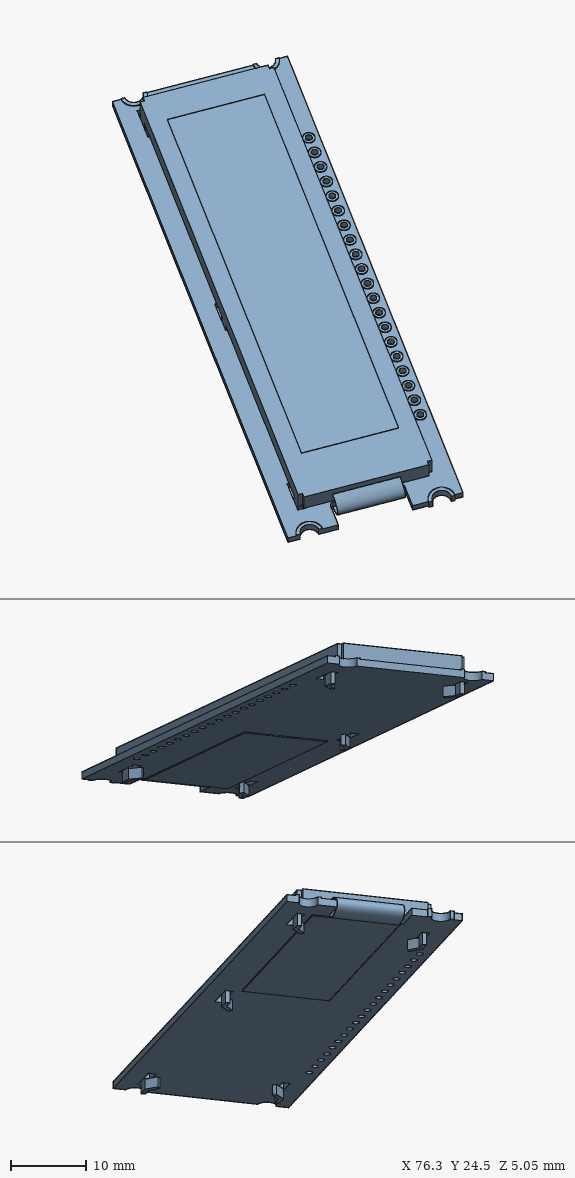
import cadquery as cq
import math

BOARD_LENGTH = 76.1
BOARD_WIDTH = 24.5
BOARD_THICKNESS = 1.0

MOUNT_HOLE_RADIUS = 1.3
MOUNT_RING_RADIUS = 1.8
MOUNT_SPACING_X = 76.3
MOUNT_SPACING_Y = 18.5
RING_OVERHANG = 0.2
PLATING_HEIGHT = 0.15

PIN_COUNT = 20
PIN_PITCH = 2.54
PIN_ROW_X = -0.1
PIN_ROW_Y = 10.75
PIN_HOLE_RADIUS = 0.45
PIN_RING_RADIUS = 0.85

DISPLAY_X = -0.8
DISPLAY_LENGTH = 69.7
DISPLAY_WIDTH = 18.7
DISPLAY_HEIGHT = 2.6
BEZEL_THICKNESS = 0.6
END_WALL_GAP = 0.1
WINDOW_X = -2.05
WINDOW_LENGTH = 58.15
WINDOW_WIDTH = 13.6
WINDOW_DEPTH = 0.1

TAB_DROP = 1.45
TAB_STRAIGHT_LENGTH = 1.8
TAB_BEND_REACH = 1.4
SLOT_LENGTH = 4.6
SLOT_WIDTH = 1.1
SLOT_SHIFT = 0.15
SLOT_OUTER_GAP = 0.2
FRONT_TAB_OFFSET = 32.7
BACK_TAB_OFFSET = 30.7
MIDDLE_TAB_OFFSET = 1.3

CABLE_WIDTH = 9.5
CABLE_THICKNESS = 0.15
CABLE_DEPTH_BELOW_TOP = 1.0
CABLE_REACH = 2.4
NOTCH_WIDTH = 10.4
NOTCH_DEPTH = 3.8
NOTCH_FILLET = 0.45
FILM_LENGTH = 30.75
FILM_WIDTH = 12.2

BOARD_END = BOARD_LENGTH / 2
DISPLAY_TOP = BOARD_THICKNESS + DISPLAY_HEIGHT
DISPLAY_SIDE = DISPLAY_WIDTH / 2
DISPLAY_END = DISPLAY_X + DISPLAY_LENGTH / 2
NOTCH_FLOOR_X = BOARD_END - NOTCH_DEPTH


def block(x_range, y_range, z_range):
    """Axis-aligned box between the given limits."""
    size = [high - low for low, high in (x_range, y_range, z_range)]
    corner = (x_range[0], y_range[0], z_range[0])
    return cq.Workplane("XY").box(*size, centered=False).translate(corner)


def rods(points, radius, height):
    """Upright cylinders standing on the plane of the board underside."""
    return cq.Workplane("XY").pushPoints(points).circle(radius).extrude(height)


TABS = [
    (DISPLAY_X - FRONT_TAB_OFFSET, -1, 1),
    (DISPLAY_X + MIDDLE_TAB_OFFSET, -1, -1),
    (DISPLAY_X + FRONT_TAB_OFFSET, -1, -1),
    (DISPLAY_X - BACK_TAB_OFFSET, 1, 1),
    (DISPLAY_X + BACK_TAB_OFFSET, 1, -1),
]


def make_board():
    board = cq.Workplane("XY").box(
        BOARD_LENGTH, BOARD_WIDTH, BOARD_THICKNESS, centered=(True, True, False)
    )
    notch = block(
        (NOTCH_FLOOR_X, BOARD_END),
        (-NOTCH_WIDTH / 2, NOTCH_WIDTH / 2),
        (0, BOARD_THICKNESS),
    )
    board = board.cut(notch.edges("|Z and <X").fillet(NOTCH_FILLET))
    slot_outer = DISPLAY_SIDE + SLOT_OUTER_GAP
    for x, side, bend in TABS:
        slot = cq.Workplane("XY").box(
            SLOT_LENGTH, SLOT_WIDTH, BOARD_THICKNESS, centered=(True, True, False)
        )
        slot_x = x + bend * SLOT_SHIFT
        slot_y = side * (slot_outer - SLOT_WIDTH / 2)
        board = board.cut(slot.translate((slot_x, slot_y, 0)))
    return board


def add_plated_holes(board):
    plating_top = BOARD_THICKNESS + PLATING_HEIGHT
    mounts = [
        (x, y)
        for x in (-MOUNT_SPACING_X / 2, MOUNT_SPACING_X / 2)
        for y in (-MOUNT_SPACING_Y / 2, MOUNT_SPACING_Y / 2)
    ]
    first_pin_x = PIN_ROW_X - PIN_PITCH * (PIN_COUNT - 1) / 2
    pins = [(first_pin_x + i * PIN_PITCH, PIN_ROW_Y) for i in range(PIN_COUNT)]

    inside_board = block(
        (-BOARD_END, BOARD_END), (-BOARD_WIDTH / 2, BOARD_WIDTH / 2), (0, plating_top)
    )
    overhang = block((BOARD_END, BOARD_END + RING_OVERHANG), (0, BOARD_WIDTH / 2), (0, plating_top))
    mount_rings = rods(mounts, MOUNT_RING_RADIUS, plating_top).intersect(inside_board.union(overhang))

    board = board.union(mount_rings).union(rods(pins, PIN_RING_RADIUS, plating_top))
    board = board.cut(rods(mounts, MOUNT_HOLE_RADIUS, plating_top))
    return board.cut(rods(pins, PIN_HOLE_RADIUS, plating_top))


def make_display():
    core_x = DISPLAY_LENGTH / 2 - BEZEL_THICKNESS
    core_y = DISPLAY_SIDE - BEZEL_THICKNESS
    long_walls = block((-core_x, core_x), (-DISPLAY_SIDE, DISPLAY_SIDE), (BOARD_THICKNESS, DISPLAY_TOP))
    end_walls = block(
        (-DISPLAY_LENGTH / 2, DISPLAY_LENGTH / 2),
        (-core_y, core_y),
        (BOARD_THICKNESS + END_WALL_GAP, DISPLAY_TOP),
    )
    display = long_walls.union(end_walls).translate((DISPLAY_X, 0, 0))
    window = block(
        (WINDOW_X - WINDOW_LENGTH / 2, WINDOW_X + WINDOW_LENGTH / 2),
        (-WINDOW_WIDTH / 2, WINDOW_WIDTH / 2),
        (DISPLAY_TOP - WINDOW_DEPTH, DISPLAY_TOP),
    )
    return display.cut(window)


def make_tab(x, side, bend):
    """Straight half through the slot, joined below the board to a half bent 45 degrees inward."""
    skew = BEZEL_THICKNESS * math.sqrt(0.5)
    inner = DISPLAY_SIDE - BEZEL_THICKNESS
    straight_start = -(TAB_STRAIGHT_LENGTH + TAB_BEND_REACH) / 2
    hinge = straight_start + TAB_STRAIGHT_LENGTH
    tip = hinge + TAB_BEND_REACH

    def place(points):
        return [(x + bend * along, side * across) for along, across in points]

    straight = [
        (straight_start, inner),
        (hinge, inner),
        (hinge, DISPLAY_SIDE),
        (straight_start, DISPLAY_SIDE),
    ]
    bent = [
        (hinge, DISPLAY_SIDE),
        (tip, DISPLAY_SIDE - TAB_BEND_REACH),
        (tip - skew, DISPLAY_SIDE - TAB_BEND_REACH - skew),
        (hinge - skew, inner),
    ]
    base = cq.Workplane("XY").workplane(offset=-TAB_DROP)
    post = base.polyline(place(straight)).close().extrude(TAB_DROP + BOARD_THICKNESS)
    return post.union(base.polyline(place(bent)).close().extrude(TAB_DROP))


def make_cable():
    cable_top = DISPLAY_TOP - CABLE_DEPTH_BELOW_TOP
    half_height = (cable_top + CABLE_THICKNESS) / 2
    middle_z = cable_top - half_height
    overlap = BEZEL_THICKNESS

    def looped_outline(inset):
        """Half ellipse bulging toward +X, with straight runs back into the display and under the board."""
        return (
            cq.Workplane("XZ", origin=(DISPLAY_END, CABLE_WIDTH / 2, middle_z))
            .moveTo(-overlap, inset - half_height)
            .lineTo(0, inset - half_height)
            .ellipseArc(CABLE_REACH - inset, half_height - inset, -90, 90, startAtCurrent=True)
            .lineTo(-overlap, half_height - inset)
            .close()
            .extrude(CABLE_WIDTH)
        )

    loop = looped_outline(0).cut(looped_outline(CABLE_THICKNESS))
    film = block(
        (NOTCH_FLOOR_X - FILM_LENGTH, NOTCH_FLOOR_X),
        (CABLE_WIDTH / 2 - FILM_WIDTH, CABLE_WIDTH / 2),
        (-CABLE_THICKNESS, 0),
    )
    return loop.union(film)


result = add_plated_holes(make_board()).union(make_display()).union(make_cable())
for tab in TABS:
    result = result.union(make_tab(*tab))